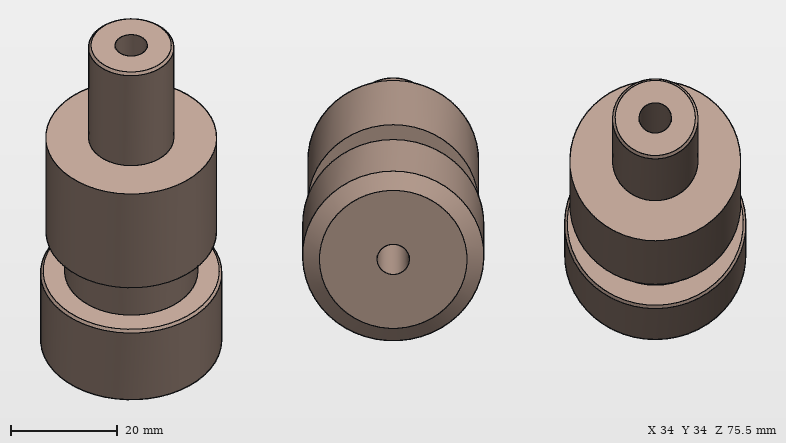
import cadquery as cq

total_height = 75.5
head_diameter = 34.0
head_height = 19.0
neck_diameter = 25.0
neck_height = 10.0
body_diameter = 32.0
body_height = 23.5
stem_diameter = 16.0
bore_diameter = 6.05
edge_chamfer = 0.5
lead_in_height = 1.8
lead_in_width = 3.2

neck_bottom = head_height
body_bottom = neck_bottom + neck_height
stem_bottom = body_bottom + body_height
stem_height = total_height - stem_bottom


def cylinder(diameter, height, bottom):
    """Upright cylinder on the Z axis."""
    return cq.Workplane("XY").workplane(offset=bottom).circle(diameter / 2).extrude(height)


head_radius = head_diameter / 2
head_profile = [
    (0, 0),
    (head_radius - lead_in_width, 0),
    (head_radius, lead_in_height),
    (head_radius, head_height - edge_chamfer),
    (head_radius - edge_chamfer, head_height),
    (0, head_height),
]
head = cq.Workplane("XZ").polyline(head_profile).close().revolve(360, (0, 0), (0, 1))

neck = cylinder(neck_diameter, neck_height, neck_bottom)
body = cylinder(body_diameter, body_height, body_bottom)
stem = cylinder(stem_diameter, stem_height, stem_bottom).faces(">Z").chamfer(edge_chamfer)

bore = cylinder(bore_diameter, total_height, 0)

result = head.union(neck).union(body).union(stem).cut(bore)